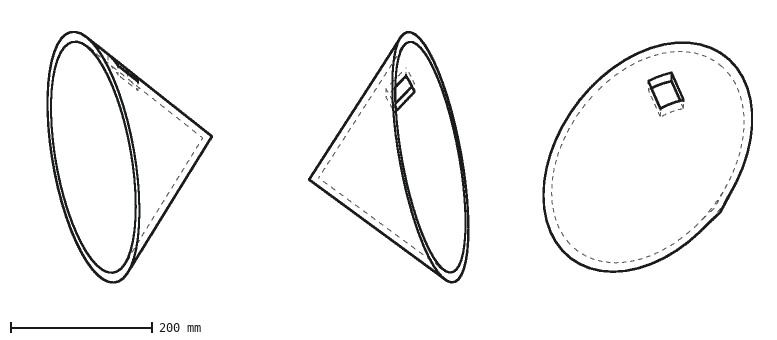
import cadquery as cq
import math

outer_radius = 180.0
cone_height = 180.0
wall_thickness = 10.0

window_width = 40.0
window_length = 30.0
window_offset = 30.0

half_angle = math.atan2(outer_radius, cone_height)
inner_radius = outer_radius - wall_thickness / math.cos(half_angle)
inner_height = cone_height - wall_thickness / math.sin(half_angle)


def solid_cone(radius, height):
    """Cone with its base on the XZ plane and its apex on the +Y axis."""
    return (
        cq.Workplane("XY")
        .moveTo(0, 0)
        .lineTo(radius, 0)
        .lineTo(0, height)
        .close()
        .revolve(360, (0, 0, 0), (0, 1, 0))
    )


def window_cutter():
    """Vertical block from the cone axis upward, cutting only the upper wall."""
    return (
        cq.Workplane("XY")
        .center(0, window_offset + window_length / 2)
        .rect(window_width, window_length)
        .extrude(outer_radius)
    )


shell = solid_cone(outer_radius, cone_height).cut(solid_cone(inner_radius, inner_height))
result = shell.cut(window_cutter())